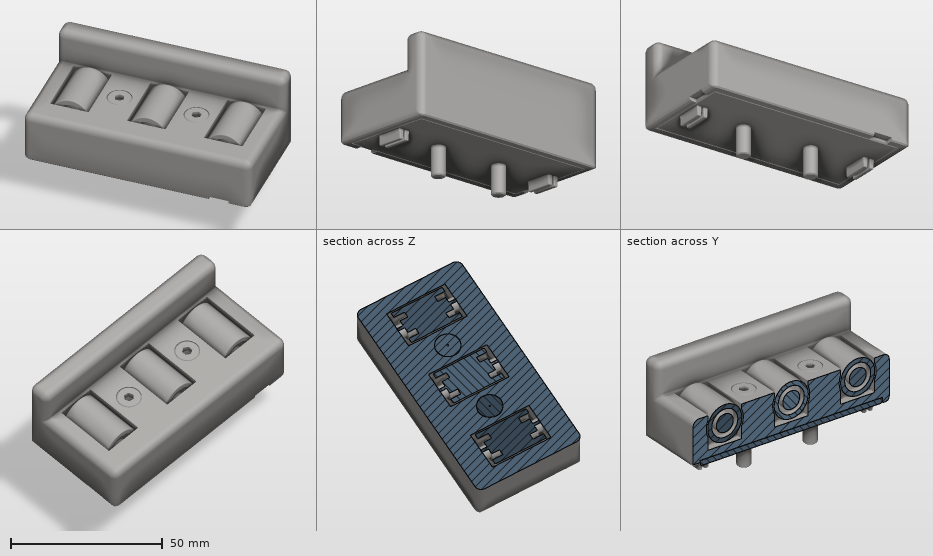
import cadquery as cq
import math

LENGTH = 80
WIDTH = 40
HEIGHT = 30.0
LEDGE_HEIGHT = 18.0
WALL_THICKNESS = 8
EDGE_RADIUS = 2.5
INNER_RADIUS = 0.5
BOTTOM_CHAMFER = 0.5
BOTTOM_TRIM = 0.5

RIM = 3.0
PLATE_THICKNESS = 2.0
PLATE_LENGTH = LENGTH - 2 * RIM
PLATE_WIDTH = WIDTH - 2 * RIM

NOTCH_WIDTH = 7.0
NOTCH_HEIGHT = 1.3
FRONT_NOTCH_X = 28.6
END_NOTCH_Y = -10.1

PRONG_LENGTH = 10.1
PRONG_HEIGHT = 3.5
PRONG_BASE = 1.8
PRONG_TIP = 1.4
PRONG_SPACING = 2.5
PRONG_PAIR_X = 33.4
PRONG_RADIUS = 0.3

ROLLER_PITCH = 27.0
ROLLER_RADIUS = 7.0
ROLLER_LENGTH = 19.7
ROLLER_EXPOSED = 2.0
ROLLER_EDGE = 0.4
ROLLER_RECESS_RADIUS = 5.2
ROLLER_RECESS_DEPTH = 4
HUB_RADIUS = 3.5
HUB_INSET = 1.0
AXLE_RADIUS = 2.4
ROLLER_Z = LEDGE_HEIGHT + ROLLER_EXPOSED - ROLLER_RADIUS
ROLLER_XS = [-ROLLER_PITCH, 0, ROLLER_PITCH]

POCKET_WIDTH = 13.6
POCKET_LENGTH = 22.2
POCKET_FLOOR = 5.0
ROLLER_CLEARANCE = 0.4

SCREW_RADIUS = 2.5
SCREW_PROTRUSION = 10.5
SCREW_TIP_CHAMFER = 0.4
HEAD_RADIUS = 4.2
HEAD_HEIGHT = 5.0
HEAD_BOTTOM = LEDGE_HEIGHT - HEAD_HEIGHT
HEAD_CHAMFER = 0.4
SOCKET_WIDTH = 3.0
SOCKET_DEPTH = 2.0
SOCKET_CONE_DEPTH = 0.8
SCREWS = [(-ROLLER_PITCH / 2, 22), (ROLLER_PITCH / 2, 0)]


def make_shell():
    """L-shaped block with rounded edges, trimmed flat and chamfered underneath."""
    profile = [
        (-WIDTH / 2, -BOTTOM_TRIM),
        (WIDTH / 2, -BOTTOM_TRIM),
        (WIDTH / 2, HEIGHT),
        (WIDTH / 2 - WALL_THICKNESS, HEIGHT),
        (WIDTH / 2 - WALL_THICKNESS, LEDGE_HEIGHT),
        (-WIDTH / 2, LEDGE_HEIGHT),
    ]
    shell = cq.Workplane("YZ").polyline(profile).close().extrude(LENGTH / 2, both=True)
    long_top_edges = shell.edges("|X").edges(">Z or <Y").edges("not <Z")
    end_edges = shell.faces("<X or >X").edges()
    shell = long_top_edges.add(end_edges).fillet(EDGE_RADIUS)
    inner_corner = cq.selectors.NearestToPointSelector((0, WIDTH / 2 - WALL_THICKNESS, LEDGE_HEIGHT))
    shell = shell.edges(inner_corner).fillet(INNER_RADIUS)
    trimmings = cq.Workplane("XY").box(LENGTH, WIDTH, BOTTOM_TRIM, centered=(True, True, False))
    shell = shell.cut(trimmings.translate((0, 0, -BOTTOM_TRIM)))
    return shell.faces("<Z").edges().chamfer(BOTTOM_CHAMFER)


def make_block(size_x, size_y, height, x, y, z):
    """Box centred on (x, y) that stands on the level z."""
    return cq.Workplane("XY").box(size_x, size_y, height, centered=(True, True, False)).translate((x, y, z))


def make_disc(radius, height, x, z):
    """Upright cylinder on the middle plane y = 0."""
    return cq.Workplane("XY").center(x, 0).circle(radius).extrude(height).translate((0, 0, z))


def make_housing():
    housing = make_shell()
    housing = housing.cut(make_block(PLATE_LENGTH, PLATE_WIDTH, PLATE_THICKNESS, 0, 0, 0))
    for x in ROLLER_XS:
        pocket_depth = LEDGE_HEIGHT - POCKET_FLOOR
        housing = housing.cut(make_block(POCKET_WIDTH, POCKET_LENGTH, pocket_depth, x, 0, POCKET_FLOOR))
        housing = housing.cut(make_axial_disc(ROLLER_RADIUS + ROLLER_CLEARANCE, POCKET_LENGTH, x))
    for x, turn in SCREWS:
        housing = housing.cut(make_disc(SCREW_RADIUS, HEAD_BOTTOM, x, 0))
        housing = housing.cut(make_disc(HEAD_RADIUS, HEAD_HEIGHT, x, HEAD_BOTTOM))
    front_rim_y = (RIM - WIDTH) / 2
    end_rim_x = (RIM - LENGTH) / 2
    housing = housing.cut(make_block(NOTCH_WIDTH, RIM, NOTCH_HEIGHT, FRONT_NOTCH_X, front_rim_y, 0))
    return housing.cut(make_block(RIM, NOTCH_WIDTH, NOTCH_HEIGHT, end_rim_x, END_NOTCH_Y, 0))


def make_prong(x):
    """Tapered blade along Y, hanging from the underside of the plate."""
    section = [
        (x - PRONG_BASE / 2, 0),
        (x + PRONG_BASE / 2, 0),
        (x + PRONG_TIP / 2, -PRONG_HEIGHT),
        (x - PRONG_TIP / 2, -PRONG_HEIGHT),
    ]
    prong = cq.Workplane("XZ").polyline(section).close().extrude(PRONG_LENGTH / 2, both=True)
    return prong.edges("not >Z").fillet(PRONG_RADIUS)


def make_bottom_plate():
    plate = make_block(PLATE_LENGTH, PLATE_WIDTH, PLATE_THICKNESS, 0, 0, 0)
    plate = plate.faces("<Z").edges().chamfer(BOTTOM_CHAMFER)
    for end in (-1, 1):
        for side in (-1, 1):
            plate = plate.union(make_prong(end * PRONG_PAIR_X + side * PRONG_SPACING / 2))
    for x, turn in SCREWS:
        plate = plate.cut(make_disc(SCREW_RADIUS, PLATE_THICKNESS, x, 0))
    return plate


def make_axial_disc(radius, length, x):
    """Cylinder on a roller axis, centred on y = 0."""
    return cq.Workplane("XZ", origin=(x, length / 2, ROLLER_Z)).circle(radius).extrude(length)


def make_roller(x):
    """Roller with recessed ends, a hub in each recess and an axle that reaches both ends of its pocket."""
    roller = make_axial_disc(ROLLER_RADIUS, ROLLER_LENGTH, x).edges().fillet(ROLLER_EDGE)
    recess_bore = make_axial_disc(ROLLER_RECESS_RADIUS, ROLLER_LENGTH, x)
    core = make_axial_disc(ROLLER_RECESS_RADIUS, ROLLER_LENGTH - 2 * ROLLER_RECESS_DEPTH, x)
    hub = make_axial_disc(HUB_RADIUS, ROLLER_LENGTH - 2 * HUB_INSET, x)
    axle = make_axial_disc(AXLE_RADIUS, POCKET_LENGTH, x)
    return roller.cut(recess_bore).union(core).union(hub).union(axle)


def make_screw(x, turn):
    """Cap screw with a conical-bottomed hex socket."""
    shank_length = HEAD_BOTTOM + SCREW_PROTRUSION
    shank = make_disc(SCREW_RADIUS, shank_length, 0, -SCREW_PROTRUSION)
    shank = shank.faces("<Z").edges().chamfer(SCREW_TIP_CHAMFER)
    head = make_disc(HEAD_RADIUS, HEAD_HEIGHT, 0, HEAD_BOTTOM)
    head = head.faces(">Z").edges().chamfer(HEAD_CHAMFER)
    across_corners = SOCKET_WIDTH / math.cos(math.pi / 6)
    socket = cq.Workplane("XY").workplane(offset=LEDGE_HEIGHT)
    socket = socket.transformed(rotate=(0, 0, 30)).polygon(6, across_corners).extrude(-SOCKET_DEPTH)
    cone = cq.Solid.makeCone(
        SOCKET_WIDTH / 2,
        0,
        SOCKET_CONE_DEPTH,
        pnt=cq.Vector(0, 0, LEDGE_HEIGHT - SOCKET_DEPTH),
        dir=cq.Vector(0, 0, -1),
    )
    screw = shank.union(head).cut(socket).cut(cq.Workplane(cone))
    return screw.rotate((0, 0, 0), (0, 0, 1), turn).translate((x, 0, 0))


housing = make_housing()
bottom_plate = make_bottom_plate()
rollers = [make_roller(x).val() for x in ROLLER_XS]
screws = [make_screw(x, turn).val() for x, turn in SCREWS]

result = cq.Compound.makeCompound([housing.val(), bottom_plate.val(), *rollers, *screws])